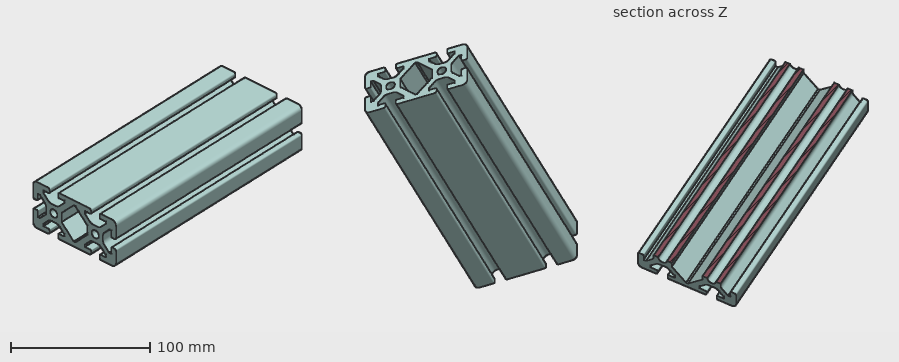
import cadquery as cq
import math

LENGTH = 200.0
PITCH = 40.0
WIDTH = 2 * PITCH
HEIGHT = PITCH
CORNER_RADIUS = 4.0

MOUTH_WIDTH = 8.2
LIP_THICKNESS = 4.5
LIP_OUTER_RADIUS = 1.5
LIP_INNER_RADIUS = 1.0
SLOT_WIDTH = 20.0
SLOT_SIDE_DEPTH = 6.5
SLOT_DEPTH = 12.5
SLOT_FLOOR_RADIUS = 4.5

CORE_DIAMETER = 6.8

CAVITY_HALF_WIDTH = 12.5
CAVITY_HALF_HEIGHT = 15.5
CAVITY_SIDE_HALF_HEIGHT = 4.0

CELL_CENTERS = (-PITCH / 2, PITCH / 2)
SLOTS = [
    (cell_x, angle)
    for cell_x in CELL_CENTERS
    for angle in (0, 180, math.copysign(90, cell_x))
]

EDGE_SEARCH = 0.05


def extrude_along_y(profile):
    """Extrude an XZ-plane profile to the full length, centred on the origin."""
    return profile.extrude(LENGTH / 2, both=True)


def fillet_lengthwise(solid, points, radius):
    """Fillet the lengthwise edges that pass through the given (x, z) points."""
    boxes = [
        cq.selectors.BoxSelector(
            (x - EDGE_SEARCH, -EDGE_SEARCH, z - EDGE_SEARCH),
            (x + EDGE_SEARCH, EDGE_SEARCH, z + EDGE_SEARCH),
        )
        for x, z in points
    ]
    selector = boxes[0]
    for box in boxes[1:]:
        selector = selector + box
    return solid.edges(selector).fillet(radius)


def make_slot():
    """T-slot cutter for the top face of a cell centred on the origin."""
    mouth_x = MOUTH_WIDTH / 2
    side_x = SLOT_WIDTH / 2
    floor_x = side_x - (SLOT_DEPTH - SLOT_SIDE_DEPTH)
    top_z = PITCH / 2
    lip_z = top_z - LIP_THICKNESS
    floor_z = top_z - SLOT_DEPTH
    right_half = [
        (mouth_x, top_z),
        (mouth_x, lip_z),
        (side_x, lip_z),
        (side_x, top_z - SLOT_SIDE_DEPTH),
        (floor_x, floor_z),
    ]
    left_half = [(-x, z) for x, z in reversed(right_half)]
    slot = extrude_along_y(cq.Workplane("XZ").polyline(right_half + left_half).close())
    floor_corners = [(floor_x, floor_z), (-floor_x, floor_z)]
    return fillet_lengthwise(slot, floor_corners, SLOT_FLOOR_RADIUS)


def mouth_corners(depth):
    """(x, z) points on both walls of every slot mouth, at a depth below the face."""
    corners = []
    for cell_x, angle in SLOTS:
        turn = math.radians(angle)
        out = PITCH / 2 - depth
        for across in (-MOUTH_WIDTH / 2, MOUTH_WIDTH / 2):
            x = cell_x + across * math.cos(turn) + out * math.sin(turn)
            z = out * math.cos(turn) - across * math.sin(turn)
            corners.append((x, z))
    return corners


def make_cavity():
    """Diamond-shaped cutter running the whole length."""
    tip_x = CAVITY_HALF_WIDTH - (CAVITY_HALF_HEIGHT - CAVITY_SIDE_HALF_HEIGHT)
    right = [(CAVITY_HALF_WIDTH, CAVITY_SIDE_HALF_HEIGHT), (tip_x, CAVITY_HALF_HEIGHT)]
    upper = right + [(-x, z) for x, z in reversed(right)]
    lower = [(-x, -z) for x, z in upper]
    return extrude_along_y(cq.Workplane("XZ").polyline(upper + lower).close())


def make_core_holes():
    """Round cutters along the axis of each cell."""
    centers = [(cell_x, 0) for cell_x in CELL_CENTERS]
    return extrude_along_y(cq.Workplane("XZ").pushPoints(centers).circle(CORE_DIAMETER / 2))


body = extrude_along_y(cq.Workplane("XZ").rect(WIDTH, HEIGHT))
body = body.edges("|Y").fillet(CORNER_RADIUS)

slot_cutter = make_slot()
for cell_x, angle in SLOTS:
    body = body.cut(slot_cutter.rotate((0, 0, 0), (0, 1, 0), angle).translate((cell_x, 0, 0)))
body = fillet_lengthwise(body, mouth_corners(0), LIP_OUTER_RADIUS)
body = fillet_lengthwise(body, mouth_corners(LIP_THICKNESS), LIP_INNER_RADIUS)

result = body.cut(make_core_holes()).cut(make_cavity())